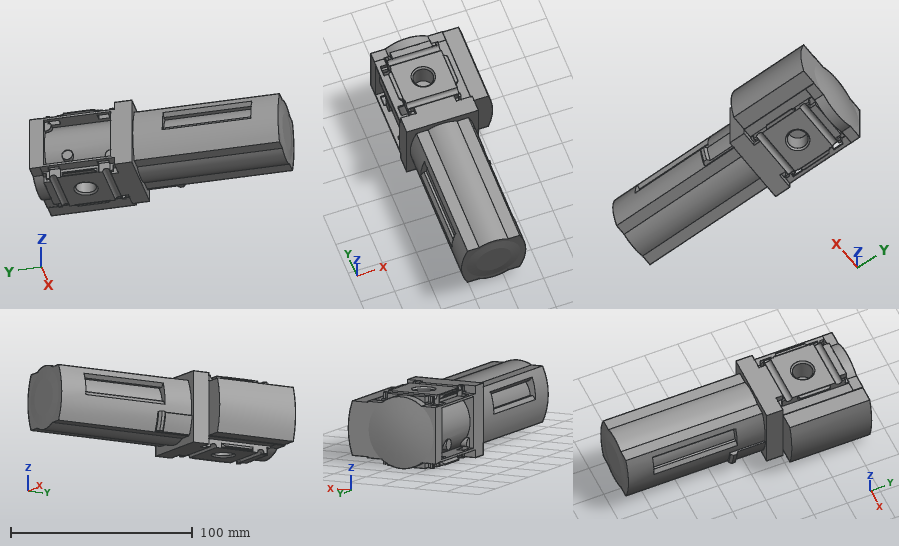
import cadquery as cq
import math


BODY_WIDTH = 42.0
BODY_HEIGHT = 40.3
HALF_WIDTH = BODY_WIDTH / 2
HALF_HEIGHT = BODY_HEIGHT / 2
CORE_HALF_HEIGHT = 15.7
BACK_HALF_HEIGHT = 15.9
FRAME_HALF_LENGTH = 21.1
COLLAR_LENGTH = 9.9
BACK_LENGTH = 5.9
COLLAR_FRONT = -FRAME_HALF_LENGTH - COLLAR_LENGTH
BACK_FACE = FRAME_HALF_LENGTH + BACK_LENGTH
DOME_HEIGHT = 2.0

PAD_HALF_WIDTH = 15.3
GROOVE_RADIUS = 2.0
GROOVE_OFFSET = 15.0
PORT_DIAMETER = 11.4
PORT_RIM_DIAMETER = 13.4
PORT_DEPTH = 12.9
RIM_CHAMFER = (PORT_RIM_DIAMETER - PORT_DIAMETER) / 2
POCKET_INNER_X = 11.7
POCKET_INNER_Y = 17.3
POCKET_DEPTH = 3.4
POST_WIDTH = 1.3
POST_LENGTH = 1.7
FLANGE_REACH = 2.0
FLANGE_ROOT_HALF_LENGTH = 10.0
FLANGE_TIP_HALF_LENGTH = 8.5
FLANGE_TOP = 19.7
FLANGE_TIP_BOTTOM = 19.1
FLANGE_ROOT_BOTTOM = 17.4

WINDOW_HALF_LENGTH = 19.0
WINDOW_HALF_HEIGHT = 14.4
WINDOW_FLOOR_X = -8.5
CORE_RADIUS = 18.8
PIN_DIAMETER = 6.1
PIN_FACE_X = -18.5
PIN_LENGTH = 3.7
PIN_CENTRES = ((18.4, 11.9), (-18.4, -11.9), (6.1, -8.4))
SLOT_OUTER_X = -18.8
SLOT_INNER_X = -14.9
SLOT_NEAR_Y = 10.9
SLOT_FAR_Y = 17.1
SLOT_FLOOR_Z = 13.3

GAUGE_EDGE_X = 30.4
GAUGE_CROWN_X = 33.0
GAUGE_HALF_HEIGHT = 15.3

BOWL_LENGTH = 82.3
BOWL_END = COLLAR_FRONT - BOWL_LENGTH
BOWL_SIDE_X = 18.8
BOWL_CORNER_X = 15.3
BOWL_FLAT_Z = 15.7
BOWL_RIDGE_RADIUS = 17.8
CAP_RADIUS = 15.7
CAP_TIP_RADIUS = 10.1
CAP_HEIGHT = 0.5

BOWL_SIDE_SAG = BOWL_SIDE_X - BOWL_CORNER_X
BOWL_SIDE_RADIUS = (BOWL_FLAT_Z**2 + BOWL_SIDE_SAG**2) / (2 * BOWL_SIDE_SAG)
BOWL_SIDE_CENTRE_X = BOWL_SIDE_X - BOWL_SIDE_RADIUS

SIGHT_START = 16.7
SIGHT_LENGTH = 50.1
SIGHT_FLOOR_RADIUS = CAP_RADIUS
SIGHT_TOP_Z = 12.1
SIGHT_BOTTOM_Z = -0.3
SIGHT_FLARE_DEPTH = 1.9
SIGHT_FLARE_HEIGHT = 2.1

LATCH_TOP_Z = -4.9
LATCH_BOTTOM_Z = -15.3
LATCH_THICKNESS = 1.0
LATCH_PLATE_LENGTH = SIGHT_START
LATCH_NOSE_HEIGHT = 2.5
LATCH_NOSE_LENGTH = 4.4
LATCH_NOSE_LEAD = 1.3


def block(x0, x1, y0, y1, z0, z1):
    """Box between two corners."""
    return cq.Workplane("XY").box(x1 - x0, y1 - y0, z1 - z0, centered=False).translate((x0, y0, z0))


def section(y_start):
    """Sketch plane at y_start with X to the right and Z up; it extrudes towards -Y."""
    return cq.Workplane("XZ", origin=(0, y_start, 0))


def both_ends(shape):
    """The shape together with its mirror image below the XY plane."""
    return shape.union(shape.mirror("XY"))


def make_housing():
    """Square core with a taller collar in front and a rounded, domed plate at the back."""
    core = block(
        -HALF_WIDTH, HALF_WIDTH,
        -FRAME_HALF_LENGTH, FRAME_HALF_LENGTH,
        -CORE_HALF_HEIGHT, CORE_HALF_HEIGHT,
    )
    collar = block(-HALF_WIDTH, HALF_WIDTH, COLLAR_FRONT, -FRAME_HALF_LENGTH, -HALF_HEIGHT, HALF_HEIGHT)
    back = block(-HALF_WIDTH, HALF_WIDTH, FRAME_HALF_LENGTH, BACK_FACE, -BACK_HALF_HEIGHT, BACK_HALF_HEIGHT)
    back_disc = section(BACK_FACE).circle(HALF_HEIGHT).extrude(BACK_LENGTH)
    dome_top = BACK_FACE + DOME_HEIGHT
    dome_radius = (HALF_HEIGHT**2 + DOME_HEIGHT**2) / (2 * DOME_HEIGHT)
    mid_x = HALF_HEIGHT / 2
    mid_y = dome_top - dome_radius + math.sqrt(dome_radius**2 - mid_x**2)
    dome = (
        cq.Workplane("XY")
        .moveTo(0, BACK_FACE)
        .lineTo(HALF_HEIGHT, BACK_FACE)
        .threePointArc((mid_x, mid_y), (0, dome_top))
        .close()
        .revolve(360, (0, 0, 0), (0, 1, 0))
    )
    return core.union(collar).union(back).union(back_disc).union(dome)


def make_pad():
    """Top connection pad with its grooves, corner pockets and side flanges."""
    pad = block(-PAD_HALF_WIDTH, PAD_HALF_WIDTH, -FRAME_HALF_LENGTH, FRAME_HALF_LENGTH, 0, HALF_HEIGHT)
    for side_y in (-1, 1):
        groove = (
            cq.Workplane("YZ", origin=(-PAD_HALF_WIDTH, side_y * GROOVE_OFFSET, HALF_HEIGHT))
            .circle(GROOVE_RADIUS)
            .extrude(2 * PAD_HALF_WIDTH)
        )
        pad = pad.cut(groove)

    pocket_floor = HALF_HEIGHT - POCKET_DEPTH
    pocket = block(
        POCKET_INNER_X, PAD_HALF_WIDTH, POCKET_INNER_Y, FRAME_HALF_LENGTH, pocket_floor, HALF_HEIGHT
    )
    post = block(
        PAD_HALF_WIDTH - POST_WIDTH, PAD_HALF_WIDTH,
        POCKET_INNER_Y, POCKET_INNER_Y + POST_LENGTH,
        pocket_floor, HALF_HEIGHT,
    )
    pocket = pocket.cut(post)
    pocket_pair = pocket.union(pocket.mirror("XZ"))
    flange = make_flange()
    pad = pad.cut(pocket_pair).cut(pocket_pair.mirror("YZ"))
    return pad.union(flange).union(flange.mirror("YZ"))


def make_flange():
    """Trapezoidal flange on the +X edge of the pad, with a sloping underside."""
    tip_x = PAD_HALF_WIDTH + FLANGE_REACH
    wedge = (
        section(FLANGE_ROOT_HALF_LENGTH)
        .polyline([
            (PAD_HALF_WIDTH, FLANGE_ROOT_BOTTOM),
            (tip_x, FLANGE_TIP_BOTTOM),
            (tip_x, FLANGE_TOP),
            (PAD_HALF_WIDTH, FLANGE_TOP),
        ])
        .close()
        .extrude(2 * FLANGE_ROOT_HALF_LENGTH)
    )
    outline = (
        cq.Workplane("XY")
        .polyline([
            (PAD_HALF_WIDTH, -FLANGE_ROOT_HALF_LENGTH),
            (tip_x, -FLANGE_TIP_HALF_LENGTH),
            (tip_x, FLANGE_TIP_HALF_LENGTH),
            (PAD_HALF_WIDTH, FLANGE_ROOT_HALF_LENGTH),
        ])
        .close()
        .extrude(HALF_HEIGHT)
    )
    return wedge.intersect(outline)


def make_port():
    """Blind port hole with a chamfered rim, opening at the top."""
    hole = cq.Workplane("XY", origin=(0, 0, HALF_HEIGHT)).circle(PORT_DIAMETER / 2).extrude(-PORT_DEPTH)
    rim = cq.Workplane("XY").add(
        cq.Solid.makeCone(
            PORT_DIAMETER / 2, PORT_RIM_DIAMETER / 2, RIM_CHAMFER,
            pnt=cq.Vector(0, 0, HALF_HEIGHT - RIM_CHAMFER),
        )
    )
    return hole.union(rim)


def make_window():
    """Material to remove for the side window, leaving the round core and the pins."""
    window = block(
        -HALF_WIDTH, WINDOW_FLOOR_X,
        -WINDOW_HALF_LENGTH, WINDOW_HALF_LENGTH,
        -WINDOW_HALF_HEIGHT, WINDOW_HALF_HEIGHT,
    )
    core = section(WINDOW_HALF_LENGTH).circle(CORE_RADIUS).extrude(2 * WINDOW_HALF_LENGTH)
    window = window.cut(core)
    for pin_y, pin_z in PIN_CENTRES:
        pin = (
            cq.Workplane("YZ", origin=(PIN_FACE_X, pin_y, pin_z))
            .circle(PIN_DIAMETER / 2)
            .extrude(PIN_LENGTH)
        )
        window = window.cut(pin)
    return window


def make_slots():
    """Two slots that lead from the top into the window, trimming the pad edge and pins."""
    slot = block(SLOT_OUTER_X, SLOT_INNER_X, SLOT_NEAR_Y, SLOT_FAR_Y, SLOT_FLOOR_Z, HALF_HEIGHT)
    return slot.union(slot.mirror("XZ"))


def make_gauge():
    """Block on the +X side with a crowned outer face."""
    return (
        section(BACK_FACE)
        .moveTo(HALF_WIDTH, -GAUGE_HALF_HEIGHT)
        .lineTo(GAUGE_EDGE_X, -GAUGE_HALF_HEIGHT)
        .threePointArc((GAUGE_CROWN_X, 0), (GAUGE_EDGE_X, GAUGE_HALF_HEIGHT))
        .lineTo(HALF_WIDTH, GAUGE_HALF_HEIGHT)
        .close()
        .extrude(BACK_FACE + FRAME_HALF_LENGTH)
    )


def make_bowl():
    """Bowl with curved sides, rounded ridges, a shallow conical end cap and sight recesses."""
    ridge_x = math.sqrt(BOWL_RIDGE_RADIUS**2 - BOWL_FLAT_Z**2)
    bowl = (
        section(COLLAR_FRONT)
        .moveTo(-BOWL_CORNER_X, BOWL_FLAT_Z)
        .lineTo(-ridge_x, BOWL_FLAT_Z)
        .threePointArc((0, BOWL_RIDGE_RADIUS), (ridge_x, BOWL_FLAT_Z))
        .lineTo(BOWL_CORNER_X, BOWL_FLAT_Z)
        .threePointArc((BOWL_SIDE_X, 0), (BOWL_CORNER_X, -BOWL_FLAT_Z))
        .lineTo(ridge_x, -BOWL_FLAT_Z)
        .threePointArc((0, -BOWL_RIDGE_RADIUS), (-ridge_x, -BOWL_FLAT_Z))
        .lineTo(-BOWL_CORNER_X, -BOWL_FLAT_Z)
        .threePointArc((-BOWL_SIDE_X, 0), (-BOWL_CORNER_X, BOWL_FLAT_Z))
        .close()
        .extrude(BOWL_LENGTH)
    )
    cap = cq.Workplane("XY").add(
        cq.Solid.makeCone(
            CAP_RADIUS, CAP_TIP_RADIUS, CAP_HEIGHT,
            pnt=cq.Vector(0, BOWL_END, 0), dir=cq.Vector(0, -1, 0),
        )
    )
    sight = make_sight_recess()
    return bowl.union(cap).cut(sight).cut(sight.mirror("YZ"))


def bowl_side_x(z):
    """X of the curved +X bowl side at height z."""
    return BOWL_SIDE_CENTRE_X + math.sqrt(BOWL_SIDE_RADIUS**2 - z**2)


def make_sight_recess():
    """Recess in the +X bowl side with flared long edges and a round floor about the bowl axis."""
    start_y = COLLAR_FRONT - SIGHT_START
    outer_x = HALF_WIDTH
    top_edge_x = bowl_side_x(SIGHT_TOP_Z)
    bottom_edge_x = bowl_side_x(SIGHT_BOTTOM_Z)
    top_wall_z = SIGHT_TOP_Z - SIGHT_FLARE_HEIGHT
    bottom_wall_z = SIGHT_BOTTOM_Z + SIGHT_FLARE_HEIGHT
    opening = (
        section(start_y)
        .polyline([
            (0, top_wall_z),
            (top_edge_x - SIGHT_FLARE_DEPTH, top_wall_z),
            (top_edge_x, SIGHT_TOP_Z),
            (outer_x, SIGHT_TOP_Z),
            (outer_x, SIGHT_BOTTOM_Z),
            (bottom_edge_x, SIGHT_BOTTOM_Z),
            (bottom_edge_x - SIGHT_FLARE_DEPTH, bottom_wall_z),
            (0, bottom_wall_z),
        ])
        .close()
        .extrude(SIGHT_LENGTH)
    )
    floor = section(start_y).circle(SIGHT_FLOOR_RADIUS).extrude(SIGHT_LENGTH)
    return opening.cut(floor)


def make_latch():
    """Curved latch plate with a beak-shaped nose, following the curved bowl side."""
    plate_x = BOWL_SIDE_X + LATCH_THICKNESS
    nose_x = BOWL_SIDE_X + LATCH_NOSE_HEIGHT
    root_x = BOWL_SIDE_X - LATCH_THICKNESS
    nose_start = COLLAR_FRONT - LATCH_PLATE_LENGTH
    nose_end = nose_start - LATCH_NOSE_LENGTH
    ring = (
        cq.Workplane("XY")
        .polyline([
            (root_x, COLLAR_FRONT),
            (plate_x, COLLAR_FRONT),
            (plate_x, nose_start),
            (nose_x, nose_start - LATCH_NOSE_LEAD),
            (nose_x, nose_end + LATCH_NOSE_LEAD),
            (plate_x, nose_end),
            (root_x, nose_end),
        ])
        .close()
        .revolve(360, (BOWL_SIDE_CENTRE_X, 0, 0), (BOWL_SIDE_CENTRE_X, 1, 0))
    )
    keep = block(0, GAUGE_CROWN_X, nose_end, COLLAR_FRONT, LATCH_BOTTOM_Z, LATCH_TOP_Z)
    return ring.intersect(keep)


result = (
    make_housing()
    .union(both_ends(make_pad()))
    .union(make_gauge())
    .cut(make_window())
    .cut(both_ends(make_slots()))
    .cut(both_ends(make_port()))
    .union(make_bowl())
    .union(make_latch())
)